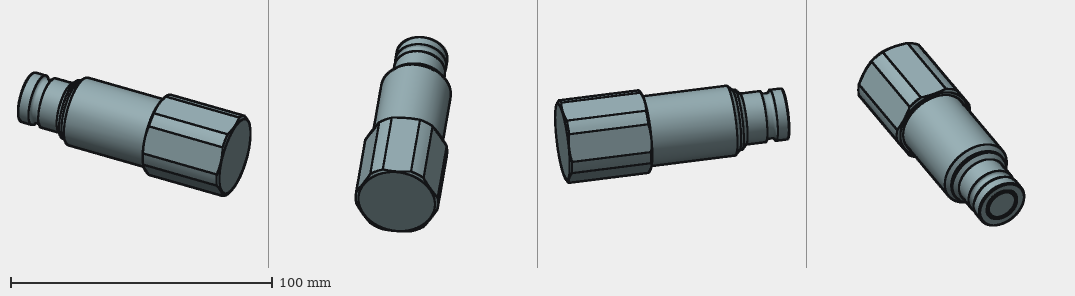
import cadquery as cq
import math

total_length = 86.8

nose_radius = 9.9
nose_edge_chamfer = 0.35
groove_start = 4.6
groove_end = 8.7
groove_radius = 8.8
groove_lip = 0.3
groove_fillet = 1.3
groove_fillet_height = 0.8

shoulder_start = 16.4
collar_radius = 11.7
collar_end = 19.3
body_radius = 13.5

hex_start = 54.5
hex_flats = 30.0
hex_corner_diameter = 31.9
hex_face_radius = 14.75
hex_chamfer_angle = 30.0

gap_outer_radius = 6.6
disc_radius = 6.3
disc_face_radius = 5.7
gap_depth = 0.6
disc_recess = 0.1


def make_body():
    """Turned nose, groove, shoulder and cylindrical body."""
    wall_start = groove_start + groove_lip
    wall_end = groove_end - groove_lip
    fillet_top = groove_radius + groove_fillet_height
    fillet_run = math.sqrt(groove_fillet**2 - (groove_fillet - groove_fillet_height) ** 2)
    half_angle = math.asin(fillet_run / groove_fillet) / 2
    mid_run = fillet_run - groove_fillet * math.sin(half_angle)
    arc_mid_radius = groove_radius + groove_fillet * (1 - math.cos(half_angle))
    collar_start = shoulder_start + collar_radius - nose_radius
    body_start = collar_end + body_radius - collar_radius
    return (
        cq.Workplane("XY")
        .moveTo(0, 0)
        .lineTo(0, nose_radius - nose_edge_chamfer)
        .lineTo(nose_edge_chamfer, nose_radius)
        .lineTo(groove_start, nose_radius)
        .lineTo(wall_start, fillet_top)
        .threePointArc(
            (wall_start + mid_run, arc_mid_radius),
            (wall_start + fillet_run, groove_radius),
        )
        .lineTo(wall_end - fillet_run, groove_radius)
        .threePointArc(
            (wall_end - mid_run, arc_mid_radius),
            (wall_end, fillet_top),
        )
        .lineTo(groove_end, nose_radius)
        .lineTo(shoulder_start, nose_radius)
        .lineTo(collar_start, collar_radius)
        .lineTo(collar_end, collar_radius)
        .lineTo(body_start, body_radius)
        .lineTo(hex_start, body_radius)
        .lineTo(hex_start, 0)
        .close()
        .revolve(360, (0, 0, 0), (1, 0, 0))
    )


def make_hex():
    """Hexagon with flats facing +/-Z, trimmed by a chamfered cylinder."""
    corner_radius = hex_corner_diameter / 2
    chamfer_length = (corner_radius - hex_face_radius) * math.tan(math.radians(hex_chamfer_angle))
    across_points = hex_flats / math.cos(math.radians(30))
    prism = (
        cq.Workplane("YZ", origin=(hex_start, 0, 0))
        .polygon(6, across_points)
        .extrude(total_length - hex_start)
    )
    envelope = (
        cq.Workplane("XY")
        .moveTo(hex_start, 0)
        .lineTo(hex_start, hex_face_radius)
        .lineTo(hex_start + chamfer_length, corner_radius)
        .lineTo(total_length - chamfer_length, corner_radius)
        .lineTo(total_length, hex_face_radius)
        .lineTo(total_length, 0)
        .close()
        .revolve(360, (0, 0, 0), (1, 0, 0))
    )
    return prism.intersect(envelope)


def make_disc_gap():
    """Ring cut that leaves a slightly recessed disc with a bevelled rim."""
    return (
        cq.Workplane("XY")
        .moveTo(0, 0)
        .lineTo(0, gap_outer_radius)
        .lineTo(gap_depth, gap_outer_radius)
        .lineTo(gap_depth, disc_radius)
        .lineTo(disc_recess, disc_face_radius)
        .lineTo(disc_recess, 0)
        .close()
        .revolve(360, (0, 0, 0), (1, 0, 0))
    )


result = make_body().union(make_hex()).cut(make_disc_gap())